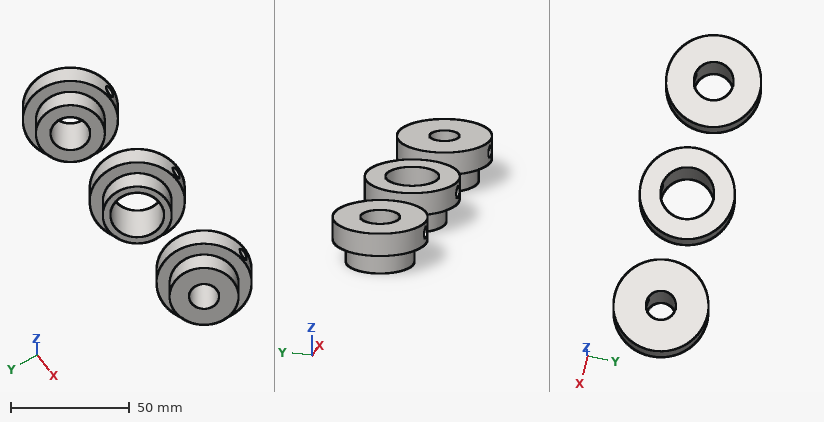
import cadquery as cq

total_length = 140.0
flange_diameter = 40.0
hub_diameter = 29.0
total_height = 20.0
bore_diameters = [16.7, 22.5, 12.6]
screw_hole_diameter = 5.0

flange_height = total_height / 2
hub_height = total_height - flange_height
screw_hole_z = hub_height + flange_height / 2
collar_spacing = (total_length - flange_diameter) / (len(bore_diameters) - 1)
first_collar_x = -(total_length - flange_diameter) / 2


def screw_hole():
    """Radial cutter from the collar axis out through the -Y side of the flange."""
    return (
        cq.Workplane("XZ")
        .center(0, screw_hole_z)
        .circle(screw_hole_diameter / 2)
        .extrude(flange_diameter / 2)
    )


def flanged_collar(bore_diameter):
    """Collar with a wide flange above a narrower hub, bored through along Z."""
    hub = cq.Workplane("XY").circle(hub_diameter / 2).extrude(hub_height)
    flange = (
        cq.Workplane("XY")
        .workplane(offset=hub_height)
        .circle(flange_diameter / 2)
        .extrude(flange_height)
    )
    bore = cq.Workplane("XY").circle(bore_diameter / 2).extrude(total_height)
    return hub.union(flange).cut(bore).cut(screw_hole())


collars = []
for index, bore_diameter in enumerate(bore_diameters):
    collar_x = first_collar_x + index * collar_spacing
    collar = flanged_collar(bore_diameter).translate((collar_x, 0, 0))
    collars.append(collar.val())

result = cq.Compound.makeCompound(collars)